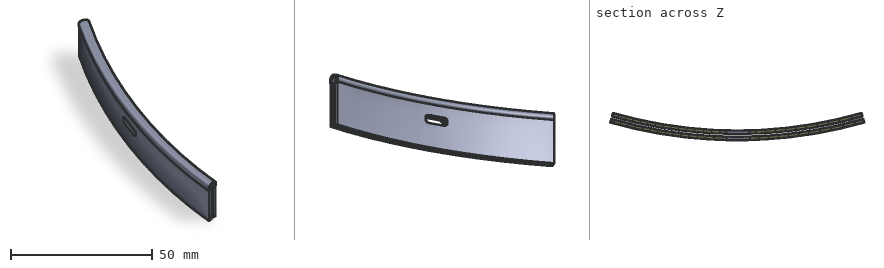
import cadquery as cq
import math

length = 90.0
height = 19.1
bead_diameter = 4.05
bore_diameter = 2.5
wall_pair_thickness = 3.5
gap_width = 0.9
half_angle = 16.0
slot_length = 9.0
slot_width = 3.0
slot_drop = 8.55
slot_offset = 0.4

bead_radius = bead_diameter / 2
outer_radius = length / 2 / math.sin(math.radians(half_angle))
center_radius = outer_radius - bead_radius
bead_z = height - bead_radius


def sweep_around_axis(profile):
    """Revolve a radial profile about Z, symmetrically about the -Y direction."""
    arc = profile.revolve(2 * half_angle, (0, 0, 0), (0, 1, 0))
    return arc.rotate((0, 0, 0), (0, 0, 1), -90 - half_angle)


def curved_bar(diameter):
    """Round bar along the bead centre line."""
    profile = cq.Workplane("XZ").moveTo(center_radius, bead_z).circle(diameter / 2)
    return sweep_around_axis(profile)


def curved_wall(thickness):
    """Upright wall from the bottom edge to the bead centre."""
    profile = cq.Workplane("XZ").moveTo(center_radius, bead_z / 2).rect(thickness, bead_z)
    return sweep_around_axis(profile)


outside = curved_bar(bead_diameter).union(curved_wall(wall_pair_thickness))
inside = curved_bar(bore_diameter).union(curved_wall(gap_width))

slot = (
    cq.Workplane("XZ")
    .center(slot_offset, height - slot_drop)
    .slot2D(slot_length, slot_width)
    .extrude(2 * outer_radius)
)

result = outside.cut(inside).cut(slot)